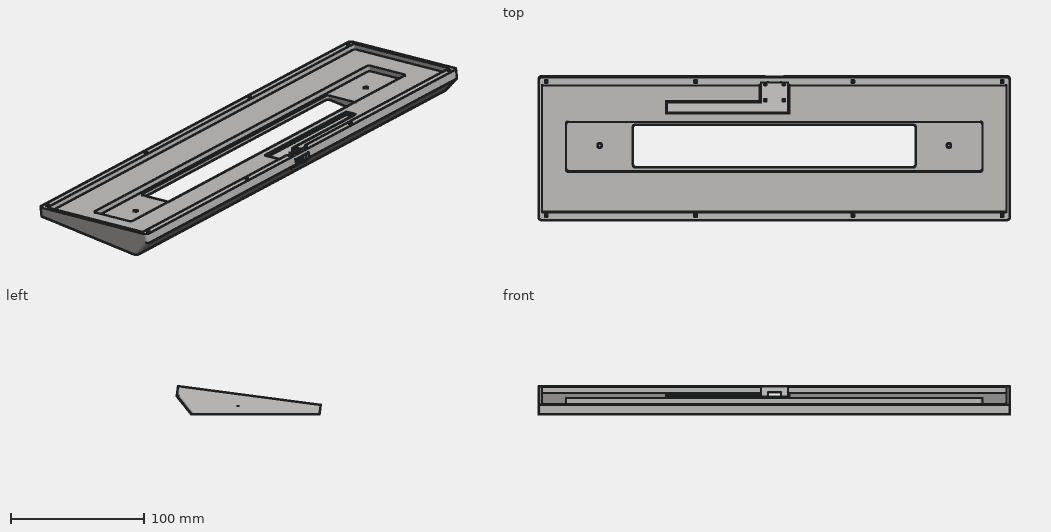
import cadquery as cq
import math

case_width = 353.61
case_depth = 108.21
case_height = 21.26

tilt = 7.5
back_face_height = 7.5
back_slant_run = 11.0
corner_radius = 2.45
tilt_sin = math.sin(math.radians(tilt))
tilt_cos = math.cos(math.radians(tilt))
top_length = (case_depth - back_face_height * tilt_sin) / tilt_cos
front_top_z = case_height - top_length * tilt_sin
front_face_height = front_top_z / tilt_cos
middle_y = top_length / 2 * tilt_cos

rim_side = 2.5
rim_end = 6.0
cavity_depth = 4.4
cavity_corner_radius = 1.0

recess_width = 312.5
recess_length = 37.8
recess_depth = 4.6
recess_offset = 0.9
recess_corner_radius = 2.0
opening_width = 212.0
opening_length = 32.4
opening_offset = 0.8
opening_corner_radius = 2.0

rim_screw_diameter = 2.08
rim_screw_depth = 5.0
rim_screw_outer_x = 171.0
rim_screw_inner_x = 59.0
rim_screw_row = 50.7
recess_hole_diameter = 3.33
recess_hole_depth = 2.0
recess_hole_offset = 1.2
recess_hole_spacing = 262.0

pocket_center_x = 0.2
pocket_width = 20.6
pocket_floor_z = 11.3
pocket_back_y = 103.5
channel_front_y = 81.0
channel_back_y = 88.5
channel_left_x = -80.4
pocket_chamfer = 0.9
pocket_chamfer_angle = 45.0
board_hole_diameter = 2.08
board_hole_spacing_x = 13.9
board_hole_spacing_y = 12.2
board_hole_front_y = 90.1
board_hole_depth = 3.0

port_width = 9.6
port_height = 4.2
port_center_z = 14.3
port_relief_width = 15.0
port_relief_height = 7.0
port_relief_depth = 3.5
port_overcut = 1.0


def on_top_face(shape):
    """Move a shape drawn about the origin onto the middle of the tilted top face."""
    middle = (0, middle_y, front_top_z + top_length / 2 * tilt_sin)
    return shape.rotate((0, 0, 0), (1, 0, 0), tilt).translate(middle)


def sunken_block(width, length, depth, radius, offset=0.0):
    """Block with rounded upright corners sunk straight into the tilted top face."""
    block = cq.Workplane("XY").center(0, offset).rect(width, length).extrude(-depth)
    return on_top_face(block.edges("|Z").fillet(radius))


def case_body():
    """Wedge-shaped case with a slanted lower back and rounded side corners."""
    back_face_bottom_z = case_height - back_face_height * tilt_cos
    profile = [
        (0, front_top_z),
        (top_length * tilt_cos, case_height),
        (case_depth, back_face_bottom_z),
        (case_depth - back_slant_run, 0),
        (front_face_height * tilt_sin, 0),
    ]
    body = cq.Workplane("YZ").polyline(profile).close().extrude(case_width / 2, both=True)
    upright = cq.ParallelDirSelector(cq.Vector(0, -tilt_sin, tilt_cos))
    slanted = cq.ParallelDirSelector(cq.Vector(0, back_slant_run, back_face_bottom_z))
    return body.edges(upright + slanted).fillet(corner_radius)


def cavity():
    """Shallow cavity inside the rim, with its floor parallel to the top face."""
    width = case_width - 2 * rim_side
    length = top_length - 2 * rim_end
    return sunken_block(width, length, cavity_depth, cavity_corner_radius)


def recess():
    """Long recess in the cavity floor."""
    depth = cavity_depth + recess_depth
    return sunken_block(recess_width, recess_length, depth, recess_corner_radius, recess_offset)


def recess_opening():
    """Window through the recess floor and the bottom of the case."""
    through_depth = 2 * case_height
    return sunken_block(opening_width, opening_length, through_depth, opening_corner_radius, opening_offset)


def rim_screw_holes():
    """Screw holes along the front and back rims."""
    columns = (-rim_screw_outer_x, -rim_screw_inner_x, rim_screw_inner_x, rim_screw_outer_x)
    points = [(x, y) for x in columns for y in (-rim_screw_row, rim_screw_row)]
    holes = cq.Workplane("XY").pushPoints(points).circle(rim_screw_diameter / 2).extrude(-rim_screw_depth)
    return on_top_face(holes)


def recess_holes():
    """One hole in the recess floor on each side of the window."""
    points = [(side * recess_hole_spacing / 2, recess_hole_offset) for side in (-1, 1)]
    depth = cavity_depth + recess_depth + recess_hole_depth
    holes = cq.Workplane("XY").pushPoints(points).circle(recess_hole_diameter / 2).extrude(-depth)
    return on_top_face(holes)


def pocket_outline():
    """L-shaped plan of the connector pocket and the cable channel."""
    left_x = pocket_center_x - pocket_width / 2
    right_x = pocket_center_x + pocket_width / 2
    return [
        (channel_left_x, channel_front_y),
        (right_x, channel_front_y),
        (right_x, pocket_back_y),
        (left_x, pocket_back_y),
        (left_x, channel_back_y),
        (channel_left_x, channel_back_y),
    ]


def connector_pocket():
    """Upright-walled pocket and channel above the level pocket floor."""
    outline = pocket_outline()
    return cq.Workplane("XY").workplane(offset=pocket_floor_z).polyline(outline).close().extrude(case_height)


def pocket_mouth_chamfer():
    """Bevel around the pocket where it meets the cavity floor; it ends at the rim."""
    rim_inner_v = top_length / 2 - rim_end
    lean = cavity_depth * tilt_sin
    outline = [(x, (y - middle_y - lean) / tilt_cos) for x, y in pocket_outline()]
    bevel = (
        cq.Workplane("XY")
        .workplane(offset=-cavity_depth)
        .polyline(outline)
        .close()
        .offset2D(pocket_chamfer, "intersection")
        .extrude(-pocket_chamfer, taper=pocket_chamfer_angle)
    )
    within_rim = cq.Workplane("XY").rect(case_width, 2 * rim_inner_v).extrude(-case_height)
    return on_top_face(bevel.intersect(within_rim))


def board_holes():
    """Four screw holes for the connector board."""
    rows = (board_hole_front_y, board_hole_front_y + board_hole_spacing_y)
    points = [(pocket_center_x + side * board_hole_spacing_x / 2, y) for side in (-1, 1) for y in rows]
    return (
        cq.Workplane("XY")
        .workplane(offset=pocket_floor_z)
        .pushPoints(points)
        .circle(board_hole_diameter / 2)
        .extrude(-board_hole_depth)
    )


def connector_port():
    """Port from the pocket out through the back wall, widened on the outside."""
    back = cq.Workplane("XZ", origin=(pocket_center_x, case_depth, port_center_z))
    port = back.rect(port_width, port_height).extrude(case_depth - pocket_back_y + port_overcut)
    relief = back.rect(port_relief_width, port_relief_height).extrude(port_relief_depth)
    return port.union(relief)


result = case_body()
for cutter in (
    cavity(),
    recess(),
    recess_opening(),
    rim_screw_holes(),
    recess_holes(),
    connector_pocket(),
    pocket_mouth_chamfer(),
    board_holes(),
    connector_port(),
):
    result = result.cut(cutter)